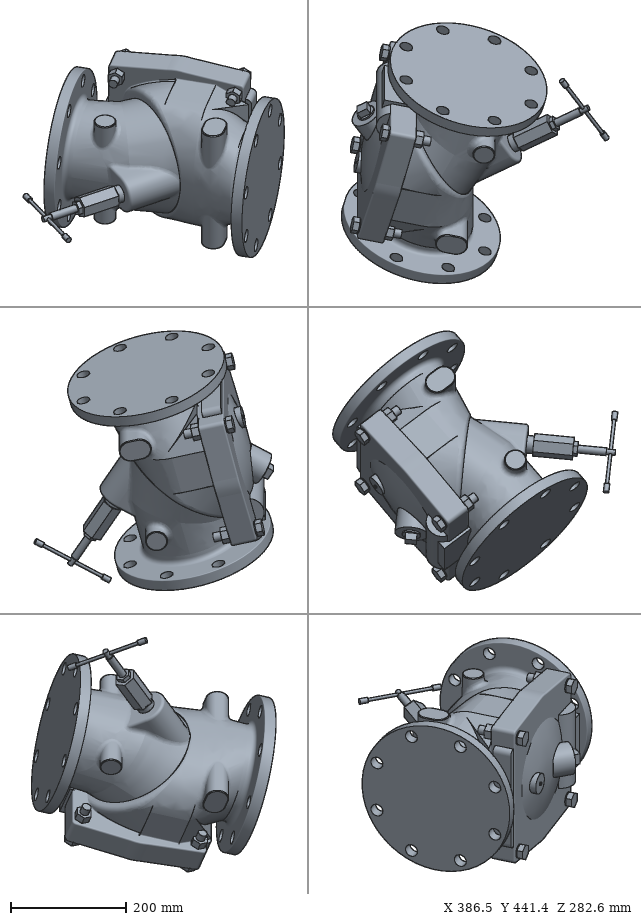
import cadquery as cq
import math


FACE_TO_FACE = 355.6
FLANGE_DIA = 279.4
FLANGE_THICK = 20.0
FLANGE_EDGE = 1.5
FLANGE_HOLES = 8
FLANGE_HOLE_DIA = 22.2
FLANGE_BOLT_CIRCLE = 241.3
NECK_RADIUS = 86.4
NECK_END_X = 142.0
NECK_FILLET = 9.0

SEAT_X, SEAT_Y = -28.0, 12.0
SEAT_RADIUS = 104.0
COLLAR_RADIUS = 122.0
MITRE_X = -73.0
MITRE_ANGLE = 22.5
MITRE_HALF_HEIGHT = 94.0
COLLAR_EDGE = 10.0
COVER_SEAT_FILLET = 2.0
CHAMBER_HALF_WIDTH = 122.0
CHAMBER_MID_Y = 20.0
CHAMBER_START_X = -110.0
CHAMBER_START_DEPTH = 47.0
CHAMBER_END_X = 71.0
CHAMBER_END_DEPTH = 89.0
SHOULDER_LOW = (81.0, 15.0)
SHOULDER_HIGH = (123.0, 70.0)

COVER_BASE_Y = 79.0
COVER_TOP_Y = 125.0
COVER_HALF_LENGTH = 121.8
COVER_END_HALF_HEIGHT = 129.0
COVER_APEX_HALF_HEIGHT = 282.55 / 2
COVER_APEX_HALF_SPAN = 16.0
COVER_CORNER = 7.0
COVER_EDGE = 3.0
DOME_X = 2.0
DOME_RADIUS = 90.0
DOME_HEIGHT = 16.0
HINGE_X = -93.0
HINGE_RADIUS = 28.0
HINGE_TOP_Y = 143.0
HINGE_HALF_HEIGHT = 72.0
HINGE_LUG_X = -127.0
HINGE_LUG_TOP_Y = 138.0
LUG_HALF_HEIGHT = 48.0
END_LUG_X = 133.0
END_LUG_HALF_HEIGHT = 96.0
END_LUG_CORNER = 10.0
END_LUG_BASE_Y = 88.0
PAD_X = 54.5
PAD_RADIUS = 18.5
PAD_TOP_Y = 143.0
PAD_NUB_RADIUS = 3.0
PAD_NUB_TOP_Y = 145.0

PORT_ALONG = 69.5
PORT_RADIUS = 29.0
PORT_ROOT = 104.0
PORT_FACE = 145.0
PORT_COLLAR_RADIUS = 16.0
PORT_COLLAR_THICK = 3.0
PLUG_SQUARE = 20.0
PLUG_END = 160.5

BOLT_X = 105.5
BOLT_Z = 111.0
BOLT_DIA = 16.0
BOLT_FLATS = 25.0
WASHER_THICK = 2.0
BOLT_HEAD_TOP_Y = 138.0
BOLT_NUT_END_Y = 65.0
BOLT_END_Y = 51.0

INLET_POST_X, INLET_POST_Y = -93.0, -48.0
INLET_POST_RADIUS = 19.0
INLET_POST_HALF_HEIGHT = 104.0
OUTLET_POST_X = 100.5
OUTLET_POST_Y = (-46.0, -30.0)
OUTLET_POST_RADIUS = 20.0
OUTLET_POST_HALF_HEIGHT = 121.0
POST_FILLET = 8.0
POST_EDGE = 1.5

SCREW_ACROSS = 42.8
BOSS_RADIUS = 34.5
BOSS_ROOT_ACROSS = -25.0
BOSS_FACE = -112.0
BOSS_EDGE = 5.0
BOSS_FILLET = 9.0
NIPPLE_RADIUS = 15.5
GLAND_FLATS = 34.5
GLAND_END = -124.0
GLAND_START = -193.0
LOCKNUT_FLATS = 22.6
LOCKNUT_START = -200.5
SPINDLE_RADIUS = 7.0
SPINDLE_START = -250.5
SPINDLE_TIP_RADIUS = 5.0
SPINDLE_TIP = -266.0
HANDLE_AT = -257.7
HANDLE_LENGTH = 150.5
HANDLE_RADIUS = 3.0
HANDLE_CAP_RADIUS = 5.0
HANDLE_CAP_LENGTH = 15.0

HEX_TURN = 90.0

FAR = 600.0
TOUCHING = 0.01
TOWARDS_HANDLE = cq.selectors.DirectionMinMaxSelector(cq.Vector(-1, -1, 0))
SEAT_ALONG = (SEAT_X + SEAT_Y) / math.sqrt(2)
SEAT_ACROSS = (SEAT_X - SEAT_Y) / math.sqrt(2)


def hex_diameter(flats):
    return flats / math.cos(math.pi / 6)


def across_plane(along):
    """Plane square to the screw; local x runs across the seat, the normal runs along it."""
    half = along / math.sqrt(2)
    return cq.Workplane(cq.Plane(origin=(half, half, 0), xDir=(1, -1, 0), normal=(1, 1, 0)))


def port_plane(distance):
    """Plane square to the port axis, at a distance from the Z axis; local y is Z."""
    half = distance / math.sqrt(2)
    return cq.Workplane(cq.Plane(origin=(-half, half, 0), xDir=(-1, -1, 0), normal=(-1, 1, 0)))


def level_plane(y):
    """Plane at height y of the cover, normal +Y; local coordinates are X and -Z."""
    return cq.Workplane(cq.Plane(origin=(0, y, 0), xDir=(1, 0, 0), normal=(0, 1, 0)))


def loft(*sketches):
    wires = [sketch.ctx.pendingWires[0] for sketch in sketches]
    return cq.Workplane(cq.Solid.makeLoft(wires, True))


def blend(body, feature, radius):
    """Join a feature to the body and fillet the edges along which they meet."""
    def is_joint(edge):
        middle = cq.Vertex.makeVertex(*edge.positionAt(0.5).toTuple())
        return max(middle.distance(body.val()), middle.distance(feature.val())) < TOUCHING

    joined = body.union(feature)
    joint = [edge for edge in joined.edges().vals() if is_joint(edge)]
    return joined.newObject(joint).fillet(radius)


def end_flange(side):
    outer_x = FACE_TO_FACE / 2
    inner_x = outer_x - FLANGE_THICK
    flange = (
        cq.Workplane("YZ", origin=(inner_x, 0, 0))
        .circle(FLANGE_DIA / 2)
        .extrude(FLANGE_THICK)
        .faces("<X")
        .edges()
        .fillet(FLANGE_EDGE)
    )
    holes = (
        cq.Workplane("YZ", origin=(inner_x, 0, 0))
        .polarArray(FLANGE_BOLT_CIRCLE / 2, 180 / FLANGE_HOLES, 360, FLANGE_HOLES)
        .circle(FLANGE_HOLE_DIA / 2)
        .extrude(FLANGE_THICK)
    )
    neck = (
        cq.Workplane("XY")
        .moveTo(NECK_END_X, 0)
        .lineTo(NECK_END_X, NECK_RADIUS)
        .lineTo(inner_x - NECK_FILLET, NECK_RADIUS)
        .radiusArc((inner_x, NECK_RADIUS + NECK_FILLET), -NECK_FILLET)
        .lineTo(inner_x, 0)
        .close()
        .revolve(360, (0, 0, 0), (1, 0, 0))
    )
    end = flange.cut(holes).union(neck)
    if side < 0:
        end = end.mirror("YZ")
    return end


def inlet_body():
    """Round inlet that bends in a mitre and opens out to the tilted seat."""
    angle = math.radians(MITRE_ANGLE)
    mitre = cq.Plane(
        origin=(MITRE_X, 0, 0),
        xDir=(math.sin(angle), -math.cos(angle), 0),
        normal=(math.cos(angle), math.sin(angle), 0),
    )
    inlet = cq.Plane(origin=(-NECK_END_X, 0, 0), xDir=(0, -1, 0), normal=(1, 0, 0))
    inlet_ring = cq.Workplane(inlet).circle(NECK_RADIUS)
    mitre_ring = cq.Workplane(mitre).ellipse(NECK_RADIUS / math.cos(angle), MITRE_HALF_HEIGHT)
    seat_ring = across_plane(SEAT_ALONG).center(SEAT_ACROSS, 0).circle(SEAT_RADIUS)
    return loft(inlet_ring, mitre_ring).union(loft(mitre_ring, seat_ring))


def chamber_section(x, half_width, mid_y, depth):
    """U-shaped section: straight walls up to the cover over a half-elliptic floor."""
    return (
        cq.Workplane("YZ", origin=(x, 0, 0))
        .moveTo(COVER_BASE_Y, half_width)
        .lineTo(mid_y, half_width)
        .ellipseArc(depth, half_width, 90, 270)
        .lineTo(COVER_BASE_Y, -half_width)
        .close()
    )


def chamber():
    start = chamber_section(CHAMBER_START_X, CHAMBER_HALF_WIDTH, CHAMBER_MID_Y, CHAMBER_START_DEPTH)
    end = chamber_section(CHAMBER_END_X, CHAMBER_HALF_WIDTH, CHAMBER_MID_Y, CHAMBER_END_DEPTH)
    outlet = chamber_section(NECK_END_X, NECK_RADIUS, 0, NECK_RADIUS)
    collar = across_plane(SEAT_ALONG).center(SEAT_ACROSS, 0).circle(COLLAR_RADIUS).extrude(FAR)
    downstream = cq.Workplane("XY").box(FAR, FAR, FAR, centered=(False, True, True))
    trunk = loft(start, end).intersect(collar.union(downstream))
    trunk = trunk.intersect(across_plane(SEAT_ALONG).rect(FAR, FAR).extrude(FAR))

    run = SHOULDER_HIGH[0] - SHOULDER_LOW[0]
    rise = SHOULDER_HIGH[1] - SHOULDER_LOW[1]
    shoulder_plane = cq.Plane(origin=(*SHOULDER_LOW, 0), xDir=(run, rise, 0), normal=(rise, -run, 0))
    beyond_shoulder = cq.Workplane(shoulder_plane).rect(FAR, FAR).extrude(-FAR)
    shoulder = loft(end, outlet).intersect(beyond_shoulder)
    cone_start = (
        cq.Workplane("YZ", origin=(CHAMBER_END_X, 0, 0))
        .center(CHAMBER_MID_Y, 0)
        .ellipse(CHAMBER_END_DEPTH, CHAMBER_HALF_WIDTH)
    )
    cone_end = cq.Workplane("YZ", origin=(NECK_END_X, 0, 0)).circle(NECK_RADIUS)
    body = trunk.union(shoulder).union(loft(cone_start, cone_end))
    return body.faces(TOWARDS_HANDLE).edges("not >Y").fillet(COLLAR_EDGE)


def screw_boss():
    straight = SCREW_ACROSS - BOSS_ROOT_ACROSS
    return (
        across_plane(BOSS_FACE)
        .moveTo(BOSS_ROOT_ACROSS, -BOSS_RADIUS)
        .line(straight, 0)
        .threePointArc((SCREW_ACROSS + BOSS_RADIUS, 0), (SCREW_ACROSS, BOSS_RADIUS))
        .line(-straight, 0)
        .close()
        .extrude(SEAT_ALONG - BOSS_FACE)
        .faces(TOWARDS_HANDLE)
        .edges()
        .fillet(BOSS_EDGE)
    )


def posts():
    inlet = (
        cq.Workplane("XY")
        .center(INLET_POST_X, INLET_POST_Y)
        .circle(INLET_POST_RADIUS)
        .extrude(INLET_POST_HALF_HEIGHT, both=True)
    )
    spread = OUTLET_POST_Y[1] - OUTLET_POST_Y[0]
    outlet = (
        cq.Workplane("XY")
        .center(OUTLET_POST_X, sum(OUTLET_POST_Y) / 2)
        .slot2D(spread + 2 * OUTLET_POST_RADIUS, 2 * OUTLET_POST_RADIUS, 90)
        .extrude(OUTLET_POST_HALF_HEIGHT, both=True)
    )
    return [post.faces("<Z or >Z").edges().chamfer(POST_EDGE) for post in (inlet, outlet)]


def cover_plate():
    slope = (COVER_APEX_HALF_HEIGHT - COVER_END_HALF_HEIGHT) / COVER_HALF_LENGTH
    shoulder_z = COVER_APEX_HALF_HEIGHT - slope * COVER_APEX_HALF_SPAN
    return (
        level_plane(COVER_BASE_Y)
        .moveTo(-COVER_HALF_LENGTH, -COVER_END_HALF_HEIGHT)
        .lineTo(-COVER_APEX_HALF_SPAN, -shoulder_z)
        .threePointArc((0, -COVER_APEX_HALF_HEIGHT), (COVER_APEX_HALF_SPAN, -shoulder_z))
        .lineTo(COVER_HALF_LENGTH, -COVER_END_HALF_HEIGHT)
        .lineTo(COVER_HALF_LENGTH, COVER_END_HALF_HEIGHT)
        .lineTo(COVER_APEX_HALF_SPAN, shoulder_z)
        .threePointArc((0, COVER_APEX_HALF_HEIGHT), (-COVER_APEX_HALF_SPAN, shoulder_z))
        .lineTo(-COVER_HALF_LENGTH, COVER_END_HALF_HEIGHT)
        .close()
        .extrude(COVER_TOP_Y - COVER_BASE_Y)
        .edges("|Y and (<X or >X)")
        .fillet(COVER_CORNER)
        .faces("<Y or >Y")
        .edges()
        .fillet(COVER_EDGE)
    )


def cover_dome():
    sphere_radius = (DOME_RADIUS**2 + DOME_HEIGHT**2) / (2 * DOME_HEIGHT)
    drop = sphere_radius - DOME_HEIGHT
    sphere = cq.Workplane("XY", origin=(DOME_X, COVER_TOP_Y - drop, 0)).sphere(sphere_radius)
    return sphere.intersect(level_plane(COVER_TOP_Y - COVER_EDGE).rect(FAR, FAR).extrude(FAR))


def lug(x0, x1, y0, y1, half_height):
    return (
        cq.Workplane("XY")
        .moveTo(x0, y0)
        .lineTo(x1, y0)
        .lineTo(x1, y1)
        .lineTo(x0, y1)
        .close()
        .extrude(half_height, both=True)
    )


def hinge_cover():
    barrel = (
        cq.Workplane("XY")
        .center(HINGE_X, HINGE_TOP_Y - HINGE_RADIUS)
        .circle(HINGE_RADIUS)
        .extrude(HINGE_HALF_HEIGHT, both=True)
    )
    return barrel.union(lug(HINGE_LUG_X, HINGE_X, COVER_BASE_Y, HINGE_LUG_TOP_Y, LUG_HALF_HEIGHT))


def cover_pad():
    pad = level_plane(COVER_TOP_Y).center(PAD_X, 0).circle(PAD_RADIUS).extrude(PAD_TOP_Y - COVER_TOP_Y)
    nub = (
        level_plane(COVER_TOP_Y)
        .center(PAD_X, 0)
        .circle(PAD_NUB_RADIUS)
        .extrude(PAD_NUB_TOP_Y - COVER_TOP_Y)
    )
    return pad.union(nub)


def inspection_port():
    barrel = (
        port_plane(PORT_ROOT)
        .center(-PORT_ALONG, 0)
        .circle(PORT_RADIUS)
        .extrude(PORT_FACE - PORT_ROOT)
    )
    collar = (
        port_plane(PORT_FACE)
        .center(-PORT_ALONG, 0)
        .circle(PORT_COLLAR_RADIUS)
        .extrude(PORT_COLLAR_THICK)
    )
    plug = (
        port_plane(PORT_FACE)
        .center(-PORT_ALONG, 0)
        .rect(PLUG_SQUARE, PLUG_SQUARE)
        .extrude(PLUG_END - PORT_FACE)
    )
    return barrel.union(collar).union(plug)


def bolt_round(x, z, start_y, end_y, radius):
    return level_plane(start_y).center(x, -z).circle(radius).extrude(end_y - start_y)


def bolt_hex(x, z, start_y, end_y):
    base = level_plane(start_y).center(x, -z).transformed((0, 0, HEX_TURN))
    return base.polygon(6, hex_diameter(BOLT_FLATS)).extrude(end_y - start_y)


def cover_bolt(x, z):
    washer_top_y = COVER_TOP_Y + WASHER_THICK
    return [
        bolt_hex(x, z, washer_top_y, BOLT_HEAD_TOP_Y),
        bolt_round(x, z, COVER_TOP_Y, washer_top_y, BOLT_FLATS / 2),
        bolt_hex(x, z, BOLT_NUT_END_Y, COVER_BASE_Y),
        bolt_round(x, z, BOLT_END_Y, COVER_TOP_Y, BOLT_DIA / 2),
    ]


def screw_round(start, end, radius):
    return across_plane(start).center(SCREW_ACROSS, 0).circle(radius).extrude(end - start)


def screw_hex(start, end, flats):
    base = across_plane(start).center(SCREW_ACROSS, 0).transformed((0, 0, HEX_TURN))
    return base.polygon(6, hex_diameter(flats)).extrude(end - start)


def handle_rod(start, length, radius):
    """Round bar across the screw, starting at a place across the seat."""
    place = ((HANDLE_AT + start) / math.sqrt(2), (HANDLE_AT - start) / math.sqrt(2), 0)
    plane = cq.Plane(origin=place, xDir=(1, 1, 0), normal=(1, -1, 0))
    return cq.Workplane(plane).circle(radius).extrude(length)


def screw():
    handle_start = SCREW_ACROSS - HANDLE_LENGTH / 2
    handle_end = handle_start + HANDLE_LENGTH
    return [
        screw_round(GLAND_END, BOSS_FACE, NIPPLE_RADIUS),
        screw_hex(GLAND_START, GLAND_END, GLAND_FLATS),
        screw_hex(LOCKNUT_START, GLAND_START, LOCKNUT_FLATS),
        screw_round(SPINDLE_START, LOCKNUT_START, SPINDLE_RADIUS),
        screw_round(SPINDLE_TIP, SPINDLE_START, SPINDLE_TIP_RADIUS),
        handle_rod(handle_start, HANDLE_LENGTH, HANDLE_RADIUS),
        handle_rod(handle_start, HANDLE_CAP_LENGTH, HANDLE_CAP_RADIUS),
        handle_rod(handle_end - HANDLE_CAP_LENGTH, HANDLE_CAP_LENGTH, HANDLE_CAP_RADIUS),
    ]


covered_chamber = blend(chamber(), cover_plate(), COVER_SEAT_FILLET)
body = blend(inlet_body(), screw_boss(), BOSS_FILLET).union(covered_chamber)
for post in posts():
    body = blend(body, post, POST_FILLET)

end_lug = lug(0, END_LUG_X, END_LUG_BASE_Y, COVER_TOP_Y - COVER_EDGE, END_LUG_HALF_HEIGHT)
end_lug = end_lug.edges("|Y and >X").fillet(END_LUG_CORNER)

parts = [end_flange(-1), end_flange(1), end_lug]
parts += [cover_dome(), hinge_cover(), cover_pad(), inspection_port()]
for bolt_x in (-BOLT_X, BOLT_X):
    for bolt_z in (-BOLT_Z, BOLT_Z):
        parts += cover_bolt(bolt_x, bolt_z)
parts += screw()

result = body
for part in parts:
    result = result.union(part)